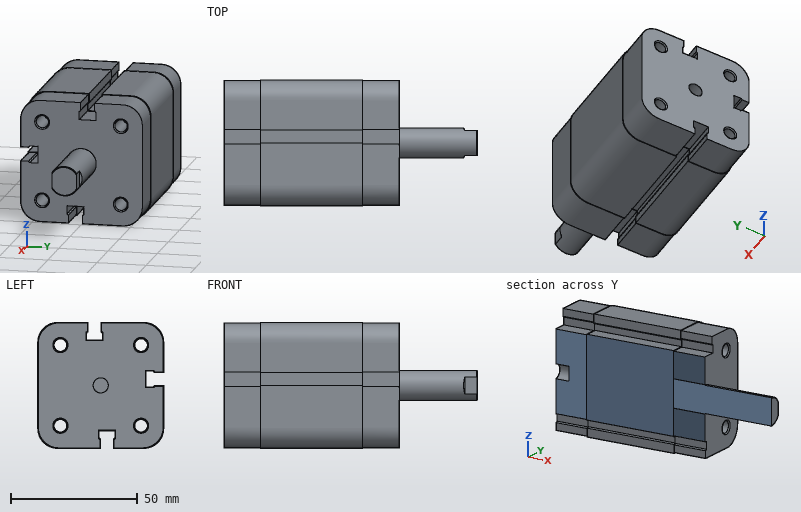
import cadquery as cq

rear_cap_length = 14.5
tube_length = 40.5
front_cap_length = 14.5
rod_reach = 31.0
tube_start = rear_cap_length
front_cap_start = tube_start + tube_length
front_face = front_cap_start + front_cap_length
rod_tip = front_face + rod_reach

tube_width = 50.0
cap_setback = 0.25
corner_radius = 8.0

slot_offset = 2.5
slot_neck_width = 5.2
slot_wide_width = 6.3
slot_depth = 7.0
slot_neck_depth = 3.75
slot_bevel = 0.5
slot_overshoot = 1.0
slot_places = [
    (0, slot_offset),
    (90, slot_offset),
    (180, slot_offset),
]

bolt_spacing = 32.0
bolt_hole_diameter = 5.0
bolt_hole_chamfer = 0.5
center_hole_diameter = 6.0
center_hole_depth = 6.0

rod_diameter = 12.0
rod_tip_chamfer = 0.3
flat_width = 10.0
flat_length = 5.0
flat_runout = 0.5


def slot_cutter(angle, shift, start, length, clearance):
    """A stepped slot opening upward, turned about X; clearance enlarges it on every wall."""
    neck = slot_neck_width / 2 + clearance
    wide = slot_wide_width / 2 + clearance
    surface = tube_width / 2
    mouth = surface + slot_overshoot
    bevel_top = surface - slot_neck_depth + clearance
    bevel_bottom = bevel_top - slot_bevel
    floor = surface - slot_depth - clearance
    outline = [
        (shift - neck, mouth),
        (shift - neck, bevel_top),
        (shift - wide, bevel_bottom),
        (shift - wide, floor),
        (shift + wide, floor),
        (shift + wide, bevel_bottom),
        (shift + neck, bevel_top),
        (shift + neck, mouth),
    ]
    cutter = cq.Workplane("YZ").workplane(offset=start).polyline(outline).close().extrude(length)
    return cutter.rotate((0, 0, 0), (1, 0, 0), angle)


def slotted_block(start, length, setback):
    """A rounded square block along X with the three slots and the four bolt holes."""
    width = tube_width - 2 * setback
    block = cq.Workplane("YZ").workplane(offset=start).rect(width, width).extrude(length)
    block = block.edges("|X").fillet(corner_radius)
    for angle, shift in slot_places:
        block = block.cut(slot_cutter(angle, shift, start, length, setback))
    bolt_holes = (
        cq.Workplane("YZ")
        .workplane(offset=start)
        .rect(bolt_spacing, bolt_spacing, forConstruction=True)
        .vertices()
        .circle(bolt_hole_diameter / 2)
        .extrude(length)
    )
    return block.cut(bolt_holes)


def chamfer_bolt_holes(cap, face_selector):
    """Bevel the mouths of the four bolt holes on one end face."""
    is_bolt_mouth = cq.selectors.RadiusNthSelector(0)
    return cap.faces(face_selector).edges("%CIRCLE").edges(is_bolt_mouth).chamfer(bolt_hole_chamfer)


def make_rear_cap():
    cap = slotted_block(0, rear_cap_length, cap_setback)
    cap = chamfer_bolt_holes(cap, "<X")
    center_hole = cq.Workplane("YZ").circle(center_hole_diameter / 2).extrude(center_hole_depth)
    return cap.cut(center_hole)


def make_tube():
    return slotted_block(tube_start, tube_length, 0)


def make_front_cap():
    cap = slotted_block(front_cap_start, front_cap_length, cap_setback)
    cap = chamfer_bolt_holes(cap, ">X")
    rod_bore = (
        cq.Workplane("YZ")
        .workplane(offset=front_cap_start)
        .circle(rod_diameter / 2)
        .extrude(front_cap_length)
    )
    return cap.cut(rod_bore)


def make_rod():
    """Rod through the front cap, with two wrench flats facing -Y and +Y at its tip."""
    radius = rod_diameter / 2
    rod = (
        cq.Workplane("YZ")
        .workplane(offset=front_cap_start)
        .circle(radius)
        .extrude(rod_tip - front_cap_start)
        .faces(">X")
        .chamfer(rod_tip_chamfer)
    )
    flat_start = rod_tip - flat_length
    for side in (-1, 1):
        flat_cutter = (
            cq.Workplane("XY")
            .moveTo(flat_start - flat_runout, side * radius)
            .lineTo(flat_start, side * flat_width / 2)
            .lineTo(rod_tip, side * flat_width / 2)
            .lineTo(rod_tip, side * radius)
            .close()
            .extrude(radius, both=True)
        )
        rod = rod.cut(flat_cutter)
    return rod


rear_cap = make_rear_cap()
tube = make_tube()
front_cap = make_front_cap()
rod = make_rod()

result = cq.Compound.makeCompound([rear_cap.val(), tube.val(), front_cap.val(), rod.val()])